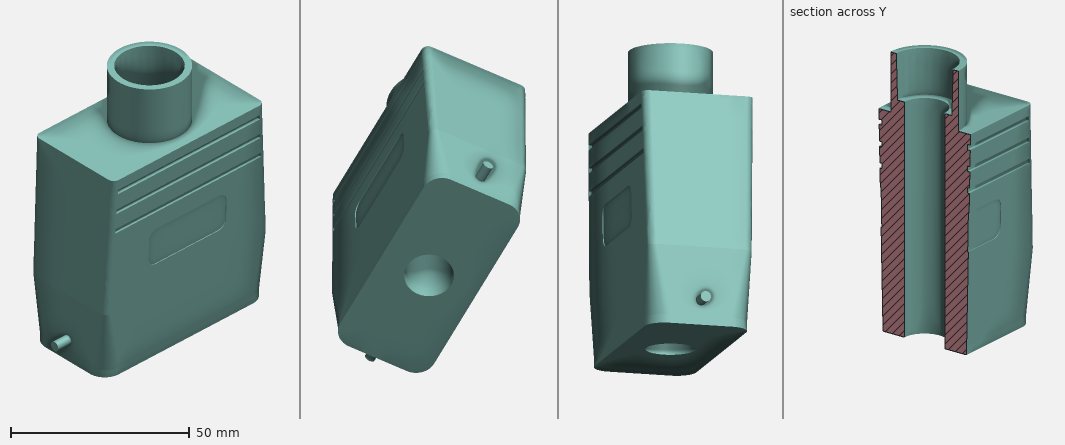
import cadquery as cq

top_z = 67.1
knee_z = 22.4
rim_z = 2.5
top_width = 32.4
base_width = 29.6
top_length = 58.3
base_length = 62.95
knee_length = 63.1
top_corner_radius = 2.05
base_corner_radius = 5.7

overall_height = 85.3
tube_diameter = 24.0
socket_mouth_diameter = 19.8
socket_floor_diameter = 18.9
cable_hole_diameter = 14.0
socket_depth = 14.0

pin_diameter = 3.0
pin_z = 7.1
pin_span = 73.0
pin_root = 0.85

groove_count = 3
groove_height = 1.45
groove_pitch = 6.6
first_groove_top_z = 63.8
groove_floor_x = 15.1

panel_length = 29.85
panel_height = 11.9
panel_corner_radius = 3.0
panel_center_z = 37.4
panel_depth = 0.25


def width_at(z):
    """Body width along X between the rim and the top, where both broad sides are flat."""
    return base_width + (top_width - base_width) * (z - rim_z) / (top_z - rim_z)


def length_at(z):
    """Body length along Y between the knee and the top."""
    return knee_length + (top_length - knee_length) * (z - knee_z) / (top_z - knee_z)


def make_body():
    stations = [
        (base_width, base_length, 0, base_corner_radius),
        (base_width, base_length, rim_z, base_corner_radius),
        (width_at(knee_z), knee_length, knee_z, top_corner_radius),
        (top_width, top_length, top_z, top_corner_radius),
    ]
    body = cq.Workplane("XY")
    for lower, upper in zip(stations, stations[1:]):
        sketches = []
        for width, length, z, radius in (lower, upper):
            sketch = cq.Sketch().rect(width, length).vertices().fillet(radius)
            sketches.append(sketch.moved(cq.Location(cq.Vector(0, 0, z))))
        body = body.union(cq.Workplane("XY").placeSketch(*sketches).loft(ruled=True))
    return body


def make_tube():
    tube_height = overall_height - top_z
    return cq.Workplane("XY", origin=(0, 0, top_z)).circle(tube_diameter / 2).extrude(tube_height)


def make_bore():
    """Tapered socket in the tube, then a straight cable hole through the body."""
    socket = (
        cq.Workplane("XY", origin=(0, 0, overall_height - socket_depth))
        .circle(socket_floor_diameter / 2)
        .workplane(offset=socket_depth)
        .circle(socket_mouth_diameter / 2)
        .loft(ruled=True)
    )
    cable_hole = cq.Workplane("XY").circle(cable_hole_diameter / 2).extrude(overall_height)
    return socket.union(cable_hole)


def make_pin():
    """One pin, on the +Y end, rooted in the end wall."""
    pin_length = (pin_span - base_length) / 2
    return (
        cq.Workplane("XZ", origin=(0, pin_span / 2, pin_z))
        .circle(pin_diameter / 2)
        .extrude(pin_length + pin_root)
    )


def make_groove(upper_z):
    """Cutter for one groove on the +X side, ending where the corner rounding starts."""
    lower_z = upper_z - groove_height
    upper_end = length_at(upper_z) / 2 - top_corner_radius
    lower_end = length_at(lower_z) / 2 - top_corner_radius
    outline = [
        (-lower_end, lower_z),
        (lower_end, lower_z),
        (upper_end, upper_z),
        (-upper_end, upper_z),
    ]
    return (
        cq.Workplane("YZ", origin=(groove_floor_x, 0, 0))
        .polyline(outline)
        .close()
        .extrude(top_width / 2)
    )


def make_panel():
    """Cutter for the label panel on the +X side, sunk square to the sloping wall."""
    wall_flare = (top_width - base_width) / 2
    wall_plane = cq.Plane(
        origin=(width_at(panel_center_z) / 2, 0, panel_center_z),
        xDir=(0, 1, 0),
        normal=(top_z - rim_z, 0, -wall_flare),
    )
    outline = cq.Sketch().rect(panel_length, panel_height).vertices().fillet(panel_corner_radius)
    return cq.Workplane(wall_plane).placeSketch(outline).extrude(panel_depth, both=True)


side_cutters = [make_groove(first_groove_top_z - i * groove_pitch) for i in range(groove_count)]
side_cutters.append(make_panel())

pin = make_pin()
result = make_body().union(make_tube()).union(pin).union(pin.mirror("XZ"))
for cutter in side_cutters:
    result = result.cut(cutter).cut(cutter.mirror("YZ"))
result = result.cut(make_bore())